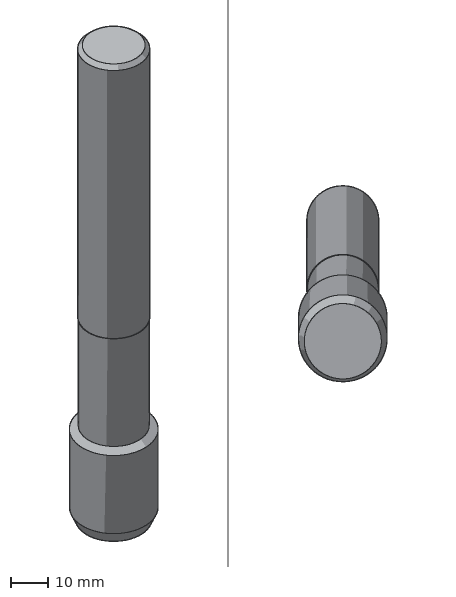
import cadquery as cq

total_length = 160.0
head_radius = 12.0
neck_radius = 9.6
shank_radius = 9.8

head_top = 30.2
shoulder_top = 31.5
shank_bottom = 68.0

lead_in_height = 3.8
lead_in_width = 1.6
shank_chamfer = 1.3


def make_head():
    """Cylindrical cutting head with a tapered lead-in at its lower end."""
    outline = [
        (0, 0),
        (head_radius - lead_in_width, 0),
        (head_radius, lead_in_height),
        (head_radius, head_top),
        (0, head_top),
    ]
    return cq.Workplane("XZ").polyline(outline).close().revolve(360, (0, 0), (0, 1))


def make_shank():
    """Conical shoulder, slim neck and chamfered shank, standing on the head."""
    outline = [
        (0, head_top),
        (head_radius, head_top),
        (neck_radius, shoulder_top),
        (neck_radius, shank_bottom),
        (shank_radius, shank_bottom),
        (shank_radius, total_length - shank_chamfer),
        (shank_radius - shank_chamfer, total_length),
        (0, total_length),
    ]
    return cq.Workplane("XZ").polyline(outline).close().revolve(360, (0, 0), (0, 1))


head = make_head()
shank = make_shank()

result = cq.Compound.makeCompound([head.val(), shank.val()])